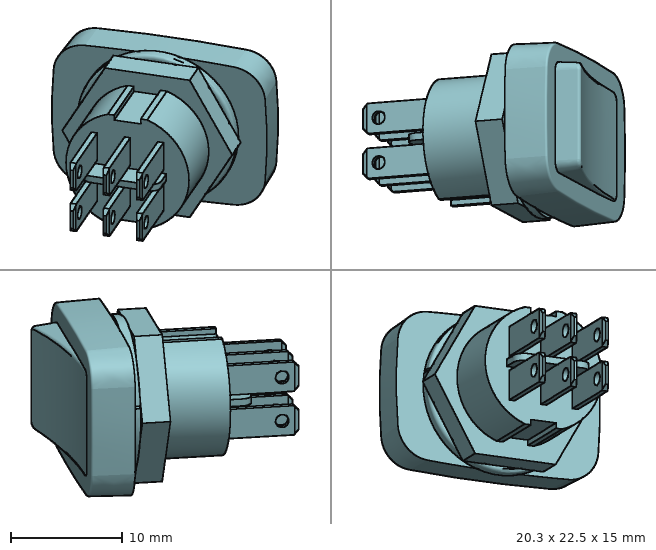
import cadquery as cq
import math


bezel_length = 20.29
bezel_height = 14.3
bezel_side_bulge = 0.45
bezel_top_bulge = 0.32
bezel_corner_radius = 3.1
bezel_thickness = 4.0
bezel_draft = 2.0
bezel_front_round = 0.2

rocker_length = 15.6
rocker_width = 10.19
rocker_draft = 6.0
rocker_corner_radius = 1.08
rocker_edge_round = 0.3
rocker_root_depth = 1.13
rocker_peak = 6.5
rocker_middle = 4.62
rocker_low_end = 4.05

washer_diameter = 14.95
washer_thickness = 1.04
washer_round = 0.34
split_width = 0.23
split_height = 1.28

nut_across_corners = 16.03
nut_thickness = 2.57

body_diameter = 11.6
body_across_flats = 11.0
body_end = 9.51
key_width = 2.5
key_depth = 0.5

barrier_width = 7.35
barrier_thickness = 0.65
barrier_length = 2.48
barrier_corner_radius = 1.0

terminal_pitch_x = 3.13
terminal_pitch_z = 4.12
terminal_thickness = 0.55
terminal_width = 2.77
terminal_length = 6.75
tip_edge_chamfer = 0.5
tip_side_inset = 0.14
tip_side_length = 0.4
terminal_hole_diameter = 1.2
terminal_hole_from_tip = 1.55

washer_rear = -washer_thickness
nut_rear = washer_rear - nut_thickness
body_rear = -body_end


def facing_front(y):
    """Work plane at Y = y that extrudes toward +Y."""
    return cq.Workplane(cq.Plane(origin=(0, y, 0), xDir=(1, 0, 0), normal=(0, 1, 0)))


def facing_rear(y):
    """Work plane at Y = y that extrudes toward -Y, with Z up."""
    return cq.Workplane("XZ", origin=(0, y, 0))


def make_bezel():
    half_x = bezel_length / 2
    half_z = bezel_height / 2
    corner_x = half_x - bezel_side_bulge
    corner_z = half_z - bezel_top_bulge
    outline = (
        cq.Sketch()
        .arc((-corner_x, corner_z), (0, half_z), (corner_x, corner_z))
        .arc((corner_x, corner_z), (half_x, 0), (corner_x, -corner_z))
        .arc((corner_x, -corner_z), (0, -half_z), (-corner_x, -corner_z))
        .arc((-corner_x, -corner_z), (-half_x, 0), (-corner_x, corner_z))
        .assemble()
        .vertices()
        .fillet(bezel_corner_radius)
    )
    bezel = facing_front(0).placeSketch(outline).extrude(bezel_thickness, taper=bezel_draft)
    return bezel.faces(">Y").edges().fillet(bezel_front_round)


def make_rocker():
    root_y = bezel_thickness - rocker_root_depth
    root_growth = 2 * rocker_root_depth * math.tan(math.radians(rocker_draft))
    outline = (
        cq.Sketch()
        .rect(rocker_length + root_growth, rocker_width + root_growth)
        .vertices()
        .fillet(rocker_corner_radius)
    )
    block_height = rocker_peak - root_y
    block = facing_front(root_y).placeSketch(outline).extrude(block_height, taper=rocker_draft)

    half_x = (rocker_length + root_growth) / 2
    side_profile = (
        cq.Workplane("XY")
        .moveTo(-half_x, root_y)
        .lineTo(-half_x, rocker_low_end)
        .threePointArc((0, rocker_middle), (half_x, rocker_peak))
        .lineTo(half_x, root_y)
        .close()
        .extrude(rocker_width, both=True)
    )
    rocker = block.intersect(side_profile)
    top_face = cq.selectors.NearestToPointSelector((0, rocker_middle, 0))
    return rocker.faces(top_face).edges().fillet(rocker_edge_round)


def make_lock_washer():
    washer = facing_rear(0).circle(washer_diameter / 2).extrude(washer_thickness)
    washer = washer.faces("<Y").edges().fillet(washer_round)

    split_depth = (washer_diameter - body_diameter) / 2
    split_x = -(washer_diameter - split_depth) / 2
    split = (
        facing_rear(0)
        .center(split_x, split_height)
        .rect(split_depth, split_width)
        .extrude(washer_thickness)
    )
    return washer.cut(split)


def make_nut():
    return facing_rear(washer_rear).polygon(6, nut_across_corners).extrude(nut_thickness)


def make_body():
    length = nut_rear - body_rear
    body = facing_rear(nut_rear).circle(body_diameter / 2).extrude(length)
    flats = facing_rear(nut_rear).rect(body_diameter, body_across_flats).extrude(length)
    key_offset = (body_across_flats - key_depth) / 2
    keyways = (
        facing_rear(nut_rear)
        .pushPoints([(0, key_offset), (0, -key_offset)])
        .rect(key_width, key_depth)
        .extrude(length)
    )
    return body.intersect(flats).cut(keyways)


def make_barrier():
    barrier = facing_rear(body_rear).rect(barrier_width, barrier_thickness).extrude(barrier_length)
    return barrier.faces("<Y").edges("|Z").fillet(barrier_corner_radius)


def blade_profile(plane, width, end_inset, end_length):
    """Blade outline running along -Y from the body, bevelled at the tip."""
    half = width / 2
    tip_y = body_rear - terminal_length
    points = [
        (half, body_rear),
        (half, tip_y + end_length),
        (half - end_inset, tip_y),
        (-half + end_inset, tip_y),
        (-half, tip_y + end_length),
        (-half, body_rear),
    ]
    if plane == "YZ":
        points = [(y, across) for across, y in points]
    return cq.Workplane(plane).polyline(points).close()


def make_terminal():
    thickness_view = blade_profile("XY", terminal_thickness, tip_side_inset, tip_side_length)
    width_view = blade_profile("YZ", terminal_width, tip_edge_chamfer, tip_edge_chamfer)
    blade = thickness_view.extrude(terminal_width, both=True)
    blade = blade.intersect(width_view.extrude(terminal_thickness, both=True))
    hole_y = body_rear - terminal_length + terminal_hole_from_tip
    hole = (
        cq.Workplane("YZ", origin=(-terminal_thickness / 2, hole_y, 0))
        .circle(terminal_hole_diameter / 2)
        .extrude(terminal_thickness)
    )
    return blade.cut(hole)


result = make_bezel()
for feature in (make_rocker(), make_lock_washer(), make_nut(), make_body(), make_barrier()):
    result = result.union(feature)

terminal = make_terminal()
for column in (-1, 0, 1):
    for row in (-0.5, 0.5):
        place = (column * terminal_pitch_x, 0, row * terminal_pitch_z)
        result = result.union(terminal.translate(place))